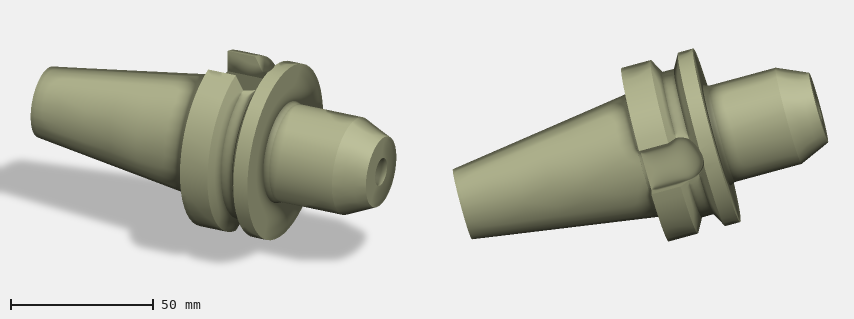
import cadquery as cq

length = 129.4

taper_length = 65.3
taper_slope = 7 / 24
taper_large_radius = 22.3
taper_small_radius = taper_large_radius - taper_length * taper_slope / 2
neck_radius = 21.9

flange_start = 66.4
flange_end = 92.4
flange_diameter = 63.0
flange_radius = flange_diameter / 2
groove_start = 77.0
groove_end = 87.0
groove_bottom_radius = 26.4
groove_side_run = 2.8

nose_radius = 17.5
nose_tip_radius = 12.7
nose_cone_length = 10.9
nose_root_length = 2.0
nose_root_height = 0.8

slot_width = 16.0
slot_end = 87.5
slot_floor = 22.5

bore_diameter = 10.0
counterbore_diameter = 14.0
counterbore_depth = 32.4


def turned_body():
    """Revolve the outer half profile, given as (X, radius) points."""
    profile = [
        (0, 0),
        (0, taper_small_radius),
        (taper_length, taper_large_radius),
        (taper_length, neck_radius),
        (flange_start, neck_radius),
        (flange_start, flange_radius),
        (groove_start, flange_radius),
        (groove_start + groove_side_run, groove_bottom_radius),
        (groove_end - groove_side_run, groove_bottom_radius),
        (groove_end, flange_radius),
        (flange_end, flange_radius),
        (flange_end, nose_radius + nose_root_height),
        (flange_end + nose_root_length, nose_radius),
        (length - nose_cone_length, nose_radius),
        (length, nose_tip_radius),
        (length, 0),
    ]
    return cq.Workplane("XY").polyline(profile).close().revolve(360, (0, 0, 0), (1, 0, 0))


def drive_slot():
    """Flat-floored slot, open toward the taper and rounded at its inner end."""
    end_radius = slot_width / 2
    arc_start = slot_end - end_radius
    return (
        cq.Workplane("XY", origin=(0, 0, slot_floor))
        .moveTo(flange_start, -end_radius)
        .lineTo(arc_start, -end_radius)
        .threePointArc((slot_end, 0), (arc_start, end_radius))
        .lineTo(flange_start, end_radius)
        .close()
        .extrude(flange_radius)
    )


def axial_bore():
    """Through bore with a counterbore from the taper end."""
    bore = cq.Workplane("YZ").circle(bore_diameter / 2).extrude(length)
    counterbore = cq.Workplane("YZ").circle(counterbore_diameter / 2).extrude(counterbore_depth)
    return bore.union(counterbore)


result = turned_body().cut(axial_bore())
for angle in (0, 180):
    result = result.cut(drive_slot().rotate((0, 0, 0), (1, 0, 0), angle))